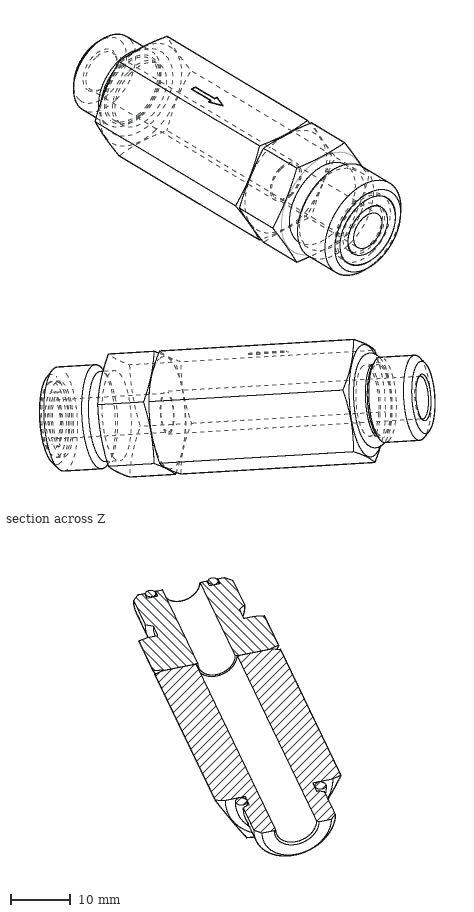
import cadquery as cq
import math


inlet_thread_end = 7.2
inlet_neck_start = 7.75
housing_start = 9.9
housing_end = 45.2
adapter_hex_end = 54.1
outlet_thread_start = 57.3
adapter_end = 65.15
overall_length = 65.67

hex_across_flats = 19.05
hex_across_corners = hex_across_flats / math.cos(math.radians(30))
hex_face_diameter = 18.8
housing_hex_chamfer_length = 0.55
adapter_hex_chamfer_length = 0.4

inlet_thread_diameter = 14.28
inlet_tip_diameter = 12.1
inlet_tip_chamfer = (inlet_thread_diameter - inlet_tip_diameter) / 2
inlet_undercut_diameter = 12.68
housing_bore_diameter = 7.14
bore_mouth_diameter = 7.8
bore_mouth_chamfer = (bore_mouth_diameter - housing_bore_diameter) / 2

inlet_ring_section = 1.98
inlet_ring_outer_diameter = 15.85
inlet_neck_diameter = inlet_ring_outer_diameter - 2 * inlet_ring_section

outlet_thread_diameter = 17.45
outlet_neck_diameter = 15.11
outlet_neck_end = 56.5
outlet_chamfer = (outlet_thread_diameter - outlet_neck_diameter) / 2
adapter_bore_diameter = 6.5

face_ring_section = 1.78
face_ring_outer_diameter = 12.68
face_groove_outer_diameter = 12.75
face_groove_floor = overall_length - face_ring_section
face_groove_inner_diameter = 2 * (face_ring_outer_diameter - face_ring_section) - face_groove_outer_diameter

arrow_start = 24.6
arrow_head_start = 29.3
arrow_tip = 31.8
arrow_center_y = -1.75
arrow_shaft_width = 0.85
arrow_head_width = 1.9
arrow_depth = 0.1


def turned(profile):
    """Revolve (x, diameter) points about the X axis, closing the profile on the axis."""
    first_x = profile[0][0]
    last_x = profile[-1][0]
    points = [(first_x, 0)]
    points += [(x, diameter / 2) for x, diameter in profile]
    points += [(last_x, 0)]
    return cq.Workplane("XY").polyline(points).close().revolve(360, (0, 0), (1, 0))


def chamfered_hex(start, end, chamfer_length):
    """Hexagonal bar with its flats up and down and its corners turned off at both ends."""
    bar = (
        cq.Workplane("YZ", origin=(start, 0, 0))
        .polygon(6, hex_across_corners)
        .extrude(end - start)
    )
    envelope = turned([
        (start, hex_face_diameter),
        (start + chamfer_length, hex_across_corners),
        (end - chamfer_length, hex_across_corners),
        (end, hex_face_diameter),
    ])
    return bar.intersect(envelope)


def o_ring(outer_diameter, section, center_x):
    """Torus about the X axis."""
    center_radius = (outer_diameter - section) / 2
    return (
        cq.Workplane("XY")
        .center(center_x, center_radius)
        .circle(section / 2)
        .revolve(360, (0, -center_radius), (1, -center_radius))
    )


def flow_arrow():
    """Cutter for the arrow that points to the outlet."""
    half_shaft = arrow_shaft_width / 2
    half_head = arrow_head_width / 2
    floor_z = hex_across_flats / 2 - arrow_depth
    return (
        cq.Workplane("XY", origin=(0, arrow_center_y, floor_z))
        .polyline([
            (arrow_start, -half_shaft),
            (arrow_head_start, -half_shaft),
            (arrow_head_start, -half_head),
            (arrow_tip, 0),
            (arrow_head_start, half_head),
            (arrow_head_start, half_shaft),
            (arrow_start, half_shaft),
        ])
        .close()
        .extrude(2 * arrow_depth)
    )


def make_housing():
    """Long hexagon with the threaded inlet spigot and a straight bore."""
    spigot = turned([
        (0, inlet_tip_diameter),
        (inlet_tip_chamfer, inlet_thread_diameter),
        (inlet_thread_end, inlet_thread_diameter),
        (inlet_neck_start, inlet_undercut_diameter),
        (inlet_neck_start, inlet_neck_diameter),
        (housing_start, inlet_neck_diameter),
    ])
    bore = turned([
        (0, bore_mouth_diameter),
        (bore_mouth_chamfer, housing_bore_diameter),
        (housing_end, housing_bore_diameter),
    ])
    hexagon = chamfered_hex(housing_start, housing_end, housing_hex_chamfer_length)
    return hexagon.union(spigot).cut(bore).cut(flow_arrow())


def make_adapter():
    """Short hexagon with the threaded outlet, a smaller bore and a face-seal groove."""
    spigot = turned([
        (adapter_hex_end, outlet_neck_diameter),
        (outlet_neck_end, outlet_neck_diameter),
        (outlet_thread_start, outlet_thread_diameter),
        (adapter_end - outlet_chamfer, outlet_thread_diameter),
        (adapter_end, outlet_neck_diameter),
    ])
    bore = turned([
        (housing_end, adapter_bore_diameter),
        (adapter_end, adapter_bore_diameter),
    ])
    face_groove = (
        cq.Workplane("YZ", origin=(face_groove_floor, 0, 0))
        .circle(face_groove_outer_diameter / 2)
        .circle(face_groove_inner_diameter / 2)
        .extrude(adapter_end - face_groove_floor)
    )
    hexagon = chamfered_hex(housing_end, adapter_hex_end, adapter_hex_chamfer_length)
    return hexagon.union(spigot).cut(bore).cut(face_groove)


housing = make_housing()
adapter = make_adapter()
inlet_ring = o_ring(
    inlet_ring_outer_diameter, inlet_ring_section, housing_start - inlet_ring_section / 2
)
face_ring = o_ring(
    face_ring_outer_diameter, face_ring_section, overall_length - face_ring_section / 2
)

result = cq.Compound.makeCompound([
    housing.val(),
    adapter.val(),
    inlet_ring.val(),
    face_ring.val(),
])